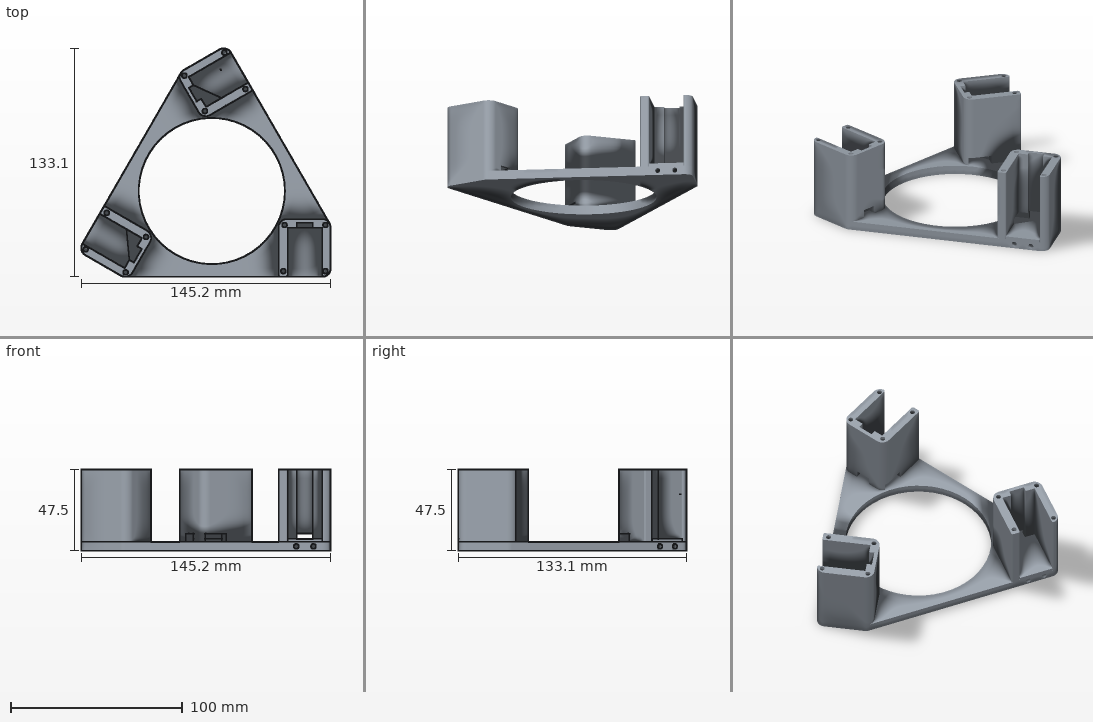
import cadquery as cq
import math

overall_length = 145.2
overall_height = 47.5
side_distance = 50.0
corner_radius = 5.0
bore_diameter = 85.0
plate_thickness = 5.2

cavity_width = 20.2
outer_wall = corner_radius
inner_wall = 5.2
wall_end_radius = 1.0

slot_width = 9.1
slot_wall = 2.2
notch_height = 4.8
channel_length = 13.5
floor_thickness = 1.7

screw_diameter = 2.9
screw_hole_depth = 14.5
side_hole_spacing = 10.0
side_hole_depth = 10.2

outer_screw_inset = 3.0
front_screw_inset = 3.3
back_screw_inset = 3.5
inner_front_screw_inset = 2.8
inner_back_screw_inset = 3.5

corner_angles = (0, 120, 240)
back_notch_angles = (0, 120)
side_channel_angles = (120, 240)

cos_30 = math.cos(math.radians(30))
sin_30 = math.sin(math.radians(30))
round_distance = side_distance - corner_radius
round_x = (overall_length - 2 * corner_radius - cos_30 * round_distance) / (1 + sin_30)
back_round_y = (round_distance - cos_30 * round_x) / sin_30

front_y = -side_distance
back_y = back_round_y + corner_radius
outer_x = round_x + corner_radius
cavity_outer_x = outer_x - outer_wall
cavity_inner_x = cavity_outer_x - cavity_width
cavity_centre_x = (cavity_outer_x + cavity_inner_x) / 2
inner_x = cavity_inner_x - inner_wall
cavity_back_y = back_y - inner_wall
slot_back_y = back_y - slot_wall
channel_front_y = slot_back_y - channel_length
slot_outer_x = cavity_centre_x + slot_width / 2
housing_height = overall_height - plate_thickness


def block(x_min, x_max, y_min, y_max, height):
    """Box standing on the top face of the plate."""
    return (
        cq.Workplane("XY", origin=(x_min, y_min, plate_thickness))
        .box(x_max - x_min, y_max - y_min, height, centered=False)
    )


def at_corner(body, angle):
    """Turn a body from the corner at angle 0 to another corner."""
    return body.rotate((0, 0, 0), (0, 0, 1), angle)


def make_plate():
    round_centres = []
    for angle in corner_angles:
        turn = math.radians(angle)
        for x, y in ((round_x, -round_distance), (round_x, back_round_y)):
            round_centres.append((
                x * math.cos(turn) - y * math.sin(turn),
                x * math.sin(turn) + y * math.cos(turn),
            ))
    plate = (
        cq.Workplane("XY")
        .polyline(round_centres).close()
        .offset2D(corner_radius)
        .extrude(plate_thickness)
        .cut(cq.Workplane("XY").circle(bore_diameter / 2).extrude(plate_thickness))
    )
    side_holes = (
        cq.Workplane("XZ", origin=(cavity_centre_x, front_y, plate_thickness / 2))
        .pushPoints([(-side_hole_spacing / 2, 0), (side_hole_spacing / 2, 0)])
        .circle(screw_diameter / 2)
        .extrude(-side_hole_depth)
    )
    for angle in corner_angles:
        plate = plate.cut(at_corner(side_holes, angle))
    return plate


def make_housing(has_back_notch, has_side_channel):
    housing = block(inner_x, outer_x, front_y, back_y, housing_height)
    housing = housing.edges("|Z").edges(">X or >Y").fillet(corner_radius)
    cavity = block(cavity_inner_x, cavity_outer_x, front_y, cavity_back_y, housing_height)
    slot = block(slot_outer_x - slot_width, slot_outer_x, cavity_back_y, slot_back_y, housing_height)
    housing = housing.cut(cavity).cut(slot)

    wall_ends = cq.selectors.BoxSelector(
        (inner_x - wall_end_radius, front_y - wall_end_radius, 0),
        (cavity_outer_x + wall_end_radius, front_y + wall_end_radius, overall_height),
    )
    housing = housing.edges("|Z").edges(wall_ends).fillet(wall_end_radius)

    if has_back_notch:
        housing = housing.cut(
            block(slot_outer_x - slot_width, slot_outer_x, cavity_back_y, back_y, notch_height)
        )
    if has_side_channel:
        housing = housing.cut(
            block(inner_x, slot_outer_x, channel_front_y, slot_back_y, notch_height)
        )

    screw_holes = (
        cq.Workplane("XY", origin=(0, 0, overall_height))
        .pushPoints([
            (outer_x - outer_screw_inset, front_y + front_screw_inset),
            (outer_x - outer_screw_inset, back_y - back_screw_inset),
            (inner_x + inner_front_screw_inset, front_y + front_screw_inset),
            (inner_x + inner_back_screw_inset, back_y - back_screw_inset),
        ])
        .circle(screw_diameter / 2)
        .extrude(-screw_hole_depth)
    )
    return housing.cut(screw_holes)


def make_floor(has_side_channel):
    floor = block(cavity_inner_x, cavity_outer_x, front_y, cavity_back_y, floor_thickness)
    if has_side_channel:
        cable_corner = (
            cq.Workplane("XY", origin=(0, 0, plate_thickness))
            .polyline([
                (cavity_inner_x, channel_front_y),
                (slot_outer_x, cavity_back_y),
                (cavity_inner_x, cavity_back_y),
            ])
            .close()
            .extrude(floor_thickness)
        )
        floor = floor.cut(cable_corner)
    return floor


plate = make_plate()
housings = []
floors = []
for corner_angle in corner_angles:
    back_notched = corner_angle in back_notch_angles
    channelled = corner_angle in side_channel_angles
    housings.append(at_corner(make_housing(back_notched, channelled), corner_angle).val())
    floors.append(at_corner(make_floor(channelled), corner_angle).val())

result = cq.Compound.makeCompound([plate.val(), *housings, *floors])